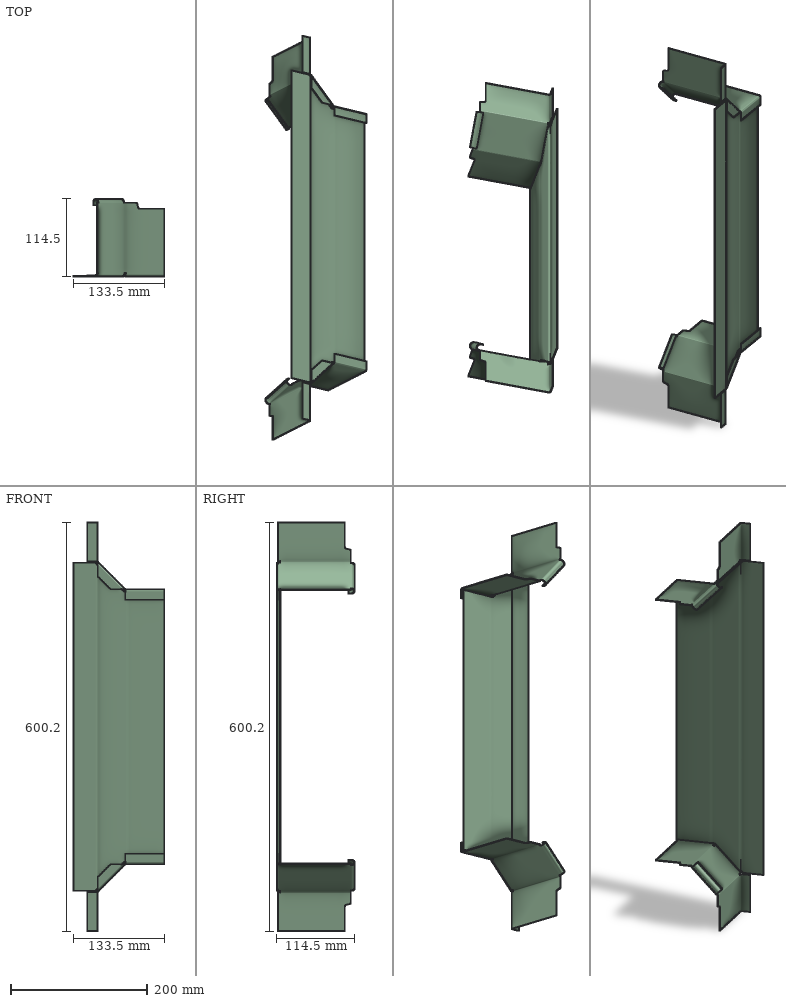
import cadquery as cq
import math

sheet = 1.25
inner_radius = 1.8
outer_radius = inner_radius + sheet
total_width = 133.5
total_depth = 114.45
half_height = 600.17 / 2

upright_x = 35.5
corner_z = 242.7
wall_length = half_height - corner_z
level_corner_x = total_width - wall_length
level_z = corner_z - (level_corner_x - upright_x)
hook_radius = 5.75
wall_depth = total_depth - hook_radius
end_depth = 100.0
end_step = 38.0
step_run = 1.8
step_radius = 2.5

flange_width = 15.3
upright_flange_y = sheet
flange_gap = 0.3
walls_front = 5.2
hook_trim = 2.0
hook_lip = 3.75

strip_top = 241.2
panel_clearance = 3.5
middle_y = 4.2
right_y = 4.7
deep_step_start = 34.35
deep_step_end = 36.4
shallow_step_start = 77.3
shallow_step_end = 81.9

SLANT_ANGLE = 45
DIAGONAL = math.cos(math.radians(SLANT_ANGLE))
slant_length = (level_corner_x - upright_x) / DIAGONAL


def wall_plane(x, z, along):
    """Section plane at a wall's start: local x points inward, local y rearward, normal along the wall."""
    along_x, along_z = along
    return cq.Plane(origin=(x, 0, z), xDir=(along_z, 0, -along_x), normal=(along_x, 0, along_z))


def flange(plane, length, front):
    """Flange with its bend, reaching back to where the flat walls start."""
    bend_end = front + outer_radius
    return (
        cq.Workplane(plane)
        .moveTo(0, walls_front)
        .lineTo(0, bend_end)
        .radiusArc((outer_radius, front), -outer_radius)
        .lineTo(flange_width, front)
        .lineTo(flange_width, front + sheet)
        .lineTo(outer_radius, front + sheet)
        .radiusArc((sheet, bend_end), inner_radius)
        .lineTo(sheet, walls_front)
        .close()
        .extrude(length)
    )


def hook(plane, length):
    """Half-round hook that turns the rear edge of the slanted wall inward and forward."""
    inside = hook_radius - sheet
    return (
        cq.Workplane(plane)
        .moveTo(0, outer_radius)
        .lineTo(0, wall_depth)
        .threePointArc((hook_radius, total_depth), (2 * hook_radius, wall_depth))
        .lineTo(2 * hook_radius, wall_depth - hook_lip)
        .lineTo(2 * hook_radius - sheet, wall_depth - hook_lip)
        .lineTo(2 * hook_radius - sheet, wall_depth)
        .threePointArc((hook_radius, wall_depth + inside), (sheet, wall_depth))
        .lineTo(sheet, outer_radius)
        .close()
        .extrude(length)
    )


def free_end_cut(plane):
    """Tool that steps a wall's rear edge; local x runs from the free end, local y rearward."""
    slope_end = end_step + step_run
    beyond = wall_depth + step_radius
    tool = (
        cq.Workplane(plane)
        .moveTo(0, end_depth)
        .lineTo(end_step, end_depth)
        .lineTo(slope_end, wall_depth)
        .lineTo(slope_end + 2 * step_radius, wall_depth)
        .lineTo(slope_end + 2 * step_radius, beyond)
        .lineTo(0, beyond)
        .close()
        .extrude(sheet, both=True)
    )
    for corner in [(end_step, end_depth), (slope_end, wall_depth)]:
        corner_edge = cq.NearestToPointSelector(plane.toWorldCoords(corner).toTuple())
        tool = tool.edges(corner_edge).fillet(step_radius)
    return tool


def bent_walls():
    """The three walls as one bent strip, with both free ends cut back at the rear."""
    inset = sheet * math.tan(math.radians(SLANT_ANGLE / 2))
    outline = [
        (upright_x, half_height),
        (upright_x, corner_z),
        (level_corner_x, level_z),
        (total_width, level_z),
        (total_width, level_z - sheet),
        (level_corner_x - inset, level_z - sheet),
        (upright_x - sheet, corner_z - inset),
        (upright_x - sheet, half_height),
    ]
    walls = (
        cq.Workplane("XZ", origin=(0, walls_front, 0))
        .polyline(outline)
        .close()
        .extrude(walls_front - wall_depth)
    )
    bend_y = (walls_front + wall_depth) / 2
    bends = [
        (outline[1], outer_radius),
        (outline[2], outer_radius),
        (outline[5], inner_radius),
        (outline[6], inner_radius),
    ]
    for (x, z), radius in bends:
        walls = walls.edges(cq.NearestToPointSelector((x, bend_y, z))).fillet(radius)
    upright_end = cq.Plane(origin=(upright_x, 0, half_height), xDir=(0, 0, -1), normal=(1, 0, 0))
    level_end = cq.Plane(origin=(total_width, 0, level_z), xDir=(-1, 0, 0), normal=(0, 0, -1))
    return walls.cut(free_end_cut(upright_end)).cut(free_end_cut(level_end))


def slanted_flange():
    """Flange of the slanted wall, cut flush with the outer faces of the two neighbouring walls."""
    plane = wall_plane(upright_x, corner_z, (DIAGONAL, -DIAGONAL))
    size = level_corner_x - upright_x
    room = cq.Workplane("XY", origin=(upright_x, 0, level_z)).box(size, walls_front, size, centered=False)
    return flange(plane, slant_length, 0).intersect(room)


def make_bracket():
    """Upper bracket; the lower one is its mirror image."""
    flange_length = wall_length - flange_gap
    upright = wall_plane(upright_x, half_height, (0, -1))
    level = wall_plane(level_corner_x + flange_gap, level_z, (1, 0))
    slanted = wall_plane(
        upright_x + hook_trim * DIAGONAL, corner_z - hook_trim * DIAGONAL, (DIAGONAL, -DIAGONAL)
    )
    return (
        bent_walls()
        .union(flange(upright, flange_length, upright_flange_y))
        .union(flange(level, flange_length, 0))
        .union(slanted_flange())
        .union(hook(slanted, slant_length - 2 * hook_trim))
    )


def make_panel():
    """Panel with a stepped section, its ends cut parallel to the bracket walls."""
    deep_angle = math.atan2(middle_y, deep_step_end - deep_step_start)
    shallow_angle = math.atan2(right_y - middle_y, shallow_step_end - shallow_step_start)
    deep_shift = sheet * math.tan(deep_angle / 2)
    shallow_shift = sheet * math.tan(shallow_angle / 2)
    front = [
        (0, 0),
        (deep_step_start, 0),
        (deep_step_end, middle_y),
        (shallow_step_start, middle_y),
        (shallow_step_end, right_y),
        (total_width, right_y),
    ]
    shifts = [0, deep_shift, deep_shift, shallow_shift, shallow_shift, 0]
    back = [(x - shift, y + sheet) for (x, y), shift in zip(front, shifts)]
    section = (
        cq.Workplane("XY", origin=(0, 0, -strip_top))
        .polyline(front + back[::-1])
        .close()
        .extrude(2 * strip_top)
    )
    for bend in range(1, len(front) - 1):
        starts_step = bend % 2 == 1
        front_radius = outer_radius if starts_step else inner_radius
        back_radius = inner_radius if starts_step else outer_radius
        section = section.edges(cq.NearestToPointSelector((*front[bend], 0))).fillet(front_radius)
        section = section.edges(cq.NearestToPointSelector((*back[bend], 0))).fillet(back_radius)
    level_end = level_z - panel_clearance
    slant_sum = upright_x + corner_z - panel_clearance / DIAGONAL
    ends = [
        (0, strip_top),
        (slant_sum - strip_top, strip_top),
        (slant_sum - level_end, level_end),
        (total_width, level_end),
    ]
    outline = ends + [(x, -z) for x, z in reversed(ends)]
    blank = cq.Workplane("XZ").polyline(outline).close().extrude(-total_depth)
    return section.intersect(blank)


bracket = make_bracket()
brackets = [bracket, bracket.mirror("XY")]
panel = make_panel()

result = cq.Compound.makeCompound([panel.val(), *[body.val() for body in brackets]])